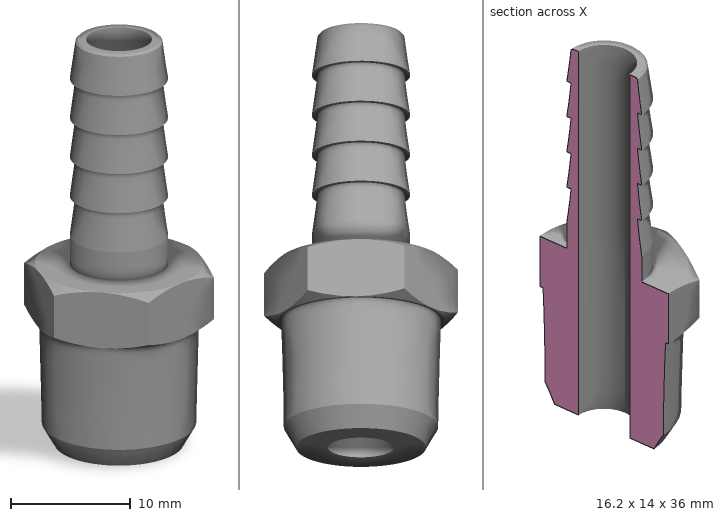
import cadquery as cq
import math

total_height = 36.0
lead_in_height = 1.8
hex_bottom = 11.0
hex_height = 5.0
barb_count = 5
barb_pitch = 3.5

bore_diameter = 5.5
stem_diameter = 8.2
barb_root_diameter = 7.27
tip_chamfer = 0.18
thread_top_diameter = 13.35
thread_bottom_diameter = 12.9
lead_in_diameter = 10.85
hex_across_flats = 14.0
hex_chamfer_angle = 30.0

hex_top = hex_bottom + hex_height
hex_across_corners = hex_across_flats / math.cos(math.radians(30))


def revolve_profile(points):
    """Revolve a closed (radius, height) outline around Z."""
    return cq.Workplane("XZ").polyline(points).close().revolve(360, (0, 0, 0), (0, 1, 0))


def make_threaded_end():
    """Slightly tapered plain shank with a conical lead-in."""
    return revolve_profile([
        (0, 0),
        (lead_in_diameter / 2, 0),
        (thread_bottom_diameter / 2, lead_in_height),
        (thread_top_diameter / 2, hex_bottom),
        (0, hex_bottom),
    ])


def make_hex():
    """Hexagon with corners on X, its corners turned off conically at both ends."""
    prism = (
        cq.Workplane("XY", origin=(0, 0, hex_bottom))
        .polygon(6, hex_across_corners)
        .extrude(hex_height)
    )
    flat_radius = hex_across_flats / 2
    corner_radius = hex_across_corners / 2
    corner_drop = (corner_radius - flat_radius) * math.tan(math.radians(hex_chamfer_angle))
    turned_envelope = revolve_profile([
        (0, hex_bottom),
        (flat_radius, hex_bottom),
        (corner_radius, hex_bottom + corner_drop),
        (corner_radius, hex_top - corner_drop),
        (flat_radius, hex_top),
        (0, hex_top),
    ])
    return prism.intersect(turned_envelope)


def make_barbed_stem():
    """Plain collar, then a stack of barbs that each narrow upward."""
    stem_radius = stem_diameter / 2
    root_radius = barb_root_diameter / 2
    barbs_bottom = total_height - barb_count * barb_pitch
    points = [(0, hex_top), (stem_radius, hex_top)]
    for index in range(barb_count):
        barb_bottom = barbs_bottom + index * barb_pitch
        points.append((stem_radius, barb_bottom))
        points.append((root_radius, barb_bottom + barb_pitch))
    points[-1] = (root_radius, total_height - tip_chamfer)
    points.append((root_radius - tip_chamfer, total_height))
    points.append((0, total_height))
    return revolve_profile(points)


bore = cq.Workplane("XY").circle(bore_diameter / 2).extrude(total_height)

result = make_threaded_end().union(make_hex()).union(make_barbed_stem()).cut(bore)